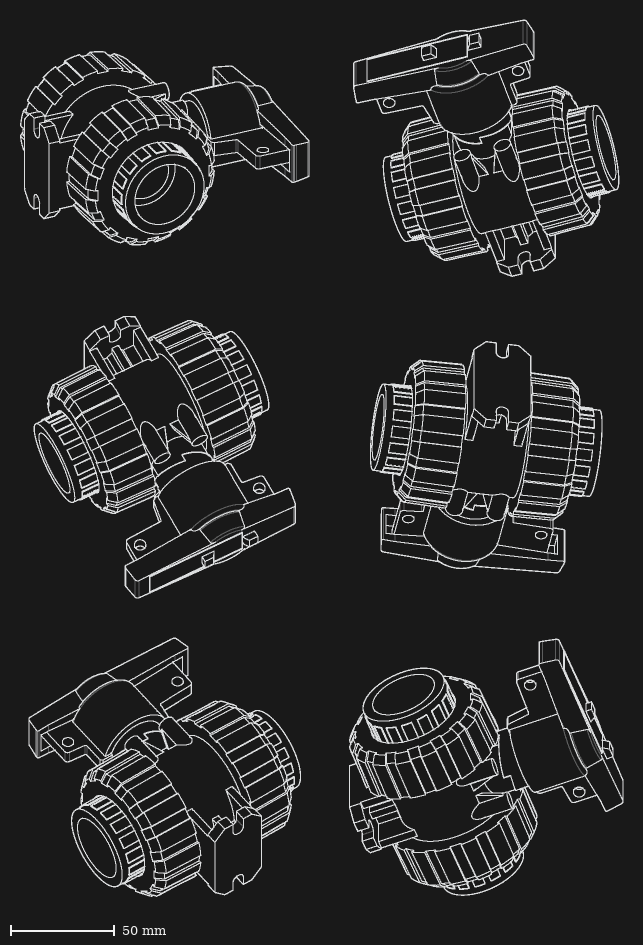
import cadquery as cq
import math


pipe_half_length = 106.0 / 2
pipe_radius = 42.0 / 2
bore_radius = 25.0 / 2
socket_radius = 32.0 / 2
socket_depth = 22.0
body_radius = 52.0 / 2

pad_radius = 43.0 / 2
pad_count = 16
pad_width = 5.3
pad_outer_x = 49.0

nut_inner_x = 16.3
nut_chamfer_x = 36.5
nut_outer_x = 40.3
nut_radius = 35.0
nut_draft = 0.5
nut_chamfer_depth = 3.4
nut_hole_radius = 43.8 / 2
nut_hole_depth = 2.5
groove_count = 16
groove_depth = 1.4
groove_width = 5.5

foot_bottom_y = -43.1
foot_thickness = 5.8
foot_width = 27.8
foot_height = 49.7
foot_chamfer = 5.9
slot_width = 6.0
slot_depth = 9.0
side_rib_thickness = 3.9
side_rib_height = 35.9
middle_rib_thickness = 3.6
middle_rib_height = 19.1
column_radius = 9.4 / 2

stem_radius = 14.5
stem_half_width = 13.3
neck_radius = 30.0 / 2
neck_top_y = 54.0
ramp_top_y = 34.9
ramp_bottom_y = 31.2
ramp_count = 4
peg_radius = 8.4 / 2
peg_x = 10.2
peg_z = 19.5
peg_top_y = 30.6
gusset_top_y = 28.5
gusset_bottom_y = 16.3
gusset_tip_x = 1.4
gusset_face_z = 20.3
gusset_thickness = 2.5

sleeve_radius = 18.8
sleeve_bottom_y = 41.3
sleeve_top_y = 69.5
sleeve_fillet = 1.9
clearance_top_y = 69.0
clearance = 0.8

cap_base_radius = 16.2
cap_top_radius = 14.7
cap_cone_y = 70.2
cap_fillet = 1.3

plate_thickness = 7.0
plate_left_x = -32.0
plate_right_x = 43.0
ear_corner_y = 54.2
ear_root_y = 53.2
skirt_left_x = -21.2
skirt_right_top_x = 22.8
skirt_right_bottom_x = 20.8
skirt_bottom_y = 40.6
ear_corner_radius = 1.6
ear_root_radius = 0.8
skirt_chamfer = 1.1
lock_hole_diameter = 5.5
lock_hole_y = 59.7
lock_hole_left_x = -27.2
lock_hole_right_x = 37.9

bar_top_y = 79.0
bar_bottom_y = 69.1
bar_belly_y = 67.6
bar_left_x = -38.6
bar_right_x = 51.5
bar_end_draft = 1.5
bar_corner_radius = 1.6
bar_lower_corner_radius = 0.9
bar_belly_half_x = 14.0
bar_end_half_z = 10.3
bar_middle_half_z = 13.0
bar_side_draft = 5.0
bar_wall = 2.0
pocket_left_x = -36.4
pocket_right_x = 47.7
pocket_half_z = 6.0

tab_top_y = 82.3
tab_outer_x = 14.4
tab_inner_top_x = 9.8
tab_inner_base_x = 7.7
panel_height = 0.4
panel_half_z = 8.7


def revolved_about_x(points):
    return cq.Workplane("XY").polyline(points).close().revolve(360, (0, 0), (1, 0))


def cylinder_along_y(radius, bottom_y, top_y, x=0.0, z=0.0):
    return cq.Workplane("ZX", origin=(x, bottom_y, z)).circle(radius).extrude(top_y - bottom_y)


def box_between(x_range, y_range, z_range):
    sizes = [high - low for low, high in (x_range, y_range, z_range)]
    corner = (x_range[0], y_range[0], z_range[0])
    return cq.Workplane("XY").box(*sizes, centered=False).translate(corner)


def mirrored_pair(shape, plane):
    return shape.union(shape.mirror(plane))


def make_nut():
    """Right-hand nut: slightly conical, chamfered outside and grooved all round."""

    def nut_blank(inset):
        outer = nut_radius - inset
        return revolved_about_x([
            (nut_inner_x, 0),
            (nut_inner_x, outer),
            (nut_chamfer_x, outer - nut_draft),
            (nut_outer_x, outer - nut_draft - nut_chamfer_depth),
            (nut_outer_x, 0),
        ])

    groove = box_between(
        (nut_inner_x, nut_outer_x),
        (bore_radius, nut_radius + groove_depth),
        (-groove_width / 2, groove_width / 2),
    )
    teeth = nut_blank(0)
    for index in range(groove_count):
        teeth = teeth.cut(groove.rotate((0, 0, 0), (1, 0, 0), index * 360 / groove_count))
    nut = teeth.union(nut_blank(groove_depth))
    hole = cq.Workplane("YZ", origin=(nut_outer_x - nut_hole_depth, 0, 0))
    return nut.cut(hole.circle(nut_hole_radius).extrude(nut_hole_depth))


def make_pipe_end():
    """Right-hand pipe end with a ring of slightly raised pads."""
    start_x = nut_outer_x - nut_hole_depth
    pads = cq.Workplane("YZ", origin=(start_x, 0, 0)).circle(pad_radius).extrude(pad_outer_x - start_x)
    bars = None
    for index in range(pad_count // 2):
        bar = box_between(
            (start_x, pad_outer_x),
            (-nut_radius, nut_radius),
            (-pad_width / 2, pad_width / 2),
        ).rotate((0, 0, 0), (1, 0, 0), index * 360 / pad_count)
        bars = bar if bars is None else bars.union(bar)
    pipe = cq.Workplane("YZ").circle(pipe_radius).extrude(pipe_half_length)
    return pipe.union(pads.intersect(bars))


def make_bore():
    bore = cq.Workplane("YZ").circle(bore_radius).extrude(pipe_half_length, both=True)
    socket = cq.Workplane("YZ", origin=(pipe_half_length - socket_depth, 0, 0))
    socket = socket.circle(socket_radius).extrude(socket_depth)
    return bore.union(mirrored_pair(socket, "YZ"))


def make_foot():
    base = (
        cq.Workplane("ZX", origin=(0, foot_bottom_y, 0))
        .rect(foot_height, foot_width)
        .extrude(foot_thickness)
        .edges("|Y")
        .chamfer(foot_chamfer)
    )
    slots = (
        cq.Workplane("ZX", origin=(0, foot_bottom_y, 0))
        .pushPoints([(-foot_height / 2, 0), (foot_height / 2, 0)])
        .slot2D(2 * slot_depth, slot_width)
        .extrude(foot_thickness)
    )
    rib_reach = (foot_bottom_y, -socket_radius)
    side_rib = box_between(
        (foot_width / 2 - side_rib_thickness, foot_width / 2),
        rib_reach,
        (-side_rib_height / 2, side_rib_height / 2),
    )
    middle_rib = box_between(
        (-middle_rib_thickness / 2, middle_rib_thickness / 2),
        rib_reach,
        (-middle_rib_height / 2, middle_rib_height / 2),
    )
    cross_rib = box_between(
        (-foot_width / 2, foot_width / 2),
        rib_reach,
        (-middle_rib_thickness / 2, middle_rib_thickness / 2),
    )
    column = cylinder_along_y(column_radius, *rib_reach)
    foot = base.union(mirrored_pair(side_rib, "YZ")).union(middle_rib).union(cross_rib).union(column)
    return foot.cut(slots)


def make_pegs():
    """Stop pegs on both sides of the stem, each with a triangular gusset towards the middle."""
    peg = cylinder_along_y(peg_radius, 0, peg_top_y, peg_x, peg_z)
    gusset_root_x = peg_x - peg_radius
    gusset = (
        cq.Workplane("XY", origin=(0, 0, gusset_face_z - gusset_thickness))
        .moveTo(peg_x, gusset_top_y)
        .lineTo(gusset_root_x, gusset_top_y)
        .lineTo(gusset_tip_x, gusset_bottom_y)
        .lineTo(peg_x, gusset_bottom_y)
        .close()
        .extrude(gusset_thickness)
    )
    return mirrored_pair(mirrored_pair(peg.union(gusset), "YZ"), "XY")


def make_neck():
    """Stem with flat sides under a wider neck whose lower rim is a ring of sawtooth ramps."""
    neck = cylinder_along_y(neck_radius, ramp_top_y, neck_top_y)
    stem = cylinder_along_y(stem_radius, 0, ramp_top_y).intersect(box_between(
        (-stem_half_width, stem_half_width),
        (0, ramp_top_y),
        (-stem_radius, stem_radius),
    ))
    sector_angle = 360 / ramp_count
    half_span = neck_radius * math.sin(math.radians(sector_angle / 2))
    sector = (
        cq.Workplane("XY")
        .rect(neck_radius, neck_top_y, centered=False)
        .revolve(sector_angle, (0, 0), (0, 1))
        .rotate((0, 0, 0), (0, 1, 0), -sector_angle / 2)
    )
    wedge = (
        cq.Workplane("YZ")
        .moveTo(ramp_top_y, half_span)
        .lineTo(ramp_bottom_y, -half_span)
        .lineTo(neck_top_y, -half_span)
        .lineTo(neck_top_y, half_span)
        .close()
        .extrude(neck_radius, both=True)
    )
    tooth = sector.intersect(wedge)
    for index in range(ramp_count):
        turn = sector_angle * (index + 0.5)
        neck = neck.union(tooth.rotate((0, 0, 0), (0, 1, 0), turn))
    return neck.union(stem)


def make_sleeve():
    """Round sleeve, split to leave clearance on both faces of the handle plate."""
    sleeve = cylinder_along_y(sleeve_radius, sleeve_bottom_y, sleeve_top_y)
    sleeve = sleeve.faces(">Y").edges().fillet(sleeve_fillet)
    half_gap = plate_thickness / 2 + clearance
    return sleeve.cut(box_between(
        (-sleeve_radius, sleeve_radius),
        (sleeve_bottom_y, clearance_top_y),
        (-half_gap, half_gap),
    ))


def make_cap():
    cap = (
        cq.Workplane("XY")
        .moveTo(0, clearance_top_y)
        .lineTo(cap_base_radius, clearance_top_y)
        .lineTo(cap_base_radius, cap_cone_y)
        .lineTo(cap_top_radius, bar_top_y)
        .lineTo(0, bar_top_y)
        .close()
        .revolve(360, (0, 0), (0, 1))
    )
    return cap.faces(">Y").edges().fillet(cap_fillet)


def make_bar():
    """Grip bar, widest at the middle and hollow from below."""
    plan = (
        cq.Workplane("ZX", origin=(0, bar_belly_y, 0))
        .polyline([
            (bar_end_half_z, bar_left_x),
            (bar_middle_half_z, 0),
            (bar_end_half_z, bar_right_x),
            (-bar_end_half_z, bar_right_x),
            (-bar_middle_half_z, 0),
            (-bar_end_half_z, bar_left_x),
        ])
        .close()
        .extrude(bar_top_y - bar_belly_y, taper=bar_side_draft)
    )
    pocket = box_between(
        (pocket_left_x, pocket_right_x),
        (bar_belly_y, bar_top_y - bar_wall),
        (-pocket_half_z, pocket_half_z),
    )
    outline = (
        cq.Workplane("XY")
        .polyline([
            (bar_left_x, bar_bottom_y),
            (plate_left_x, bar_bottom_y),
            (-bar_belly_half_x, bar_belly_y),
            (bar_belly_half_x, bar_belly_y),
            (plate_right_x, bar_bottom_y),
            (bar_right_x, bar_bottom_y),
            (bar_right_x - bar_end_draft, bar_top_y),
            (bar_left_x + bar_end_draft, bar_top_y),
        ])
        .close()
        .extrude(sleeve_radius, both=True)
    )
    outline = outline.faces(">Y").edges("|Z").fillet(bar_corner_radius)
    for end_x in (bar_left_x, bar_right_x):
        corner = cq.selectors.NearestToPointSelector((end_x, bar_bottom_y, 0))
        outline = outline.edges("|Z").edges(corner).fillet(bar_lower_corner_radius)
    bar = outline.intersect(plan)
    return bar.cut(pocket)


def make_plate():
    """Flat handle plate with two locking ears and a skirt down the sleeve."""
    plate = (
        cq.Workplane("XY")
        .polyline([
            (plate_left_x, bar_top_y - bar_wall),
            (plate_left_x, ear_corner_y),
            (skirt_left_x, ear_root_y),
            (skirt_left_x, skirt_bottom_y),
            (skirt_right_bottom_x, skirt_bottom_y),
            (skirt_right_top_x, ear_root_y),
            (plate_right_x, ear_corner_y),
            (plate_right_x, bar_top_y - bar_wall),
        ])
        .close()
        .extrude(plate_thickness / 2, both=True)
    )
    rounded_corners = (
        (plate_left_x, ear_corner_y, ear_corner_radius),
        (plate_right_x, ear_corner_y, ear_corner_radius),
        (skirt_left_x, ear_root_y, ear_root_radius),
        (skirt_right_top_x, ear_root_y, ear_root_radius),
    )
    for corner_x, corner_y, radius in rounded_corners:
        corner = cq.selectors.NearestToPointSelector((corner_x, corner_y, 0))
        plate = plate.edges("|Z").edges(corner).fillet(radius)
    plate = plate.faces("<Y").edges("|Z").chamfer(skirt_chamfer)
    holes = (
        cq.Workplane("XY")
        .pushPoints([(lock_hole_left_x, lock_hole_y), (lock_hole_right_x, lock_hole_y)])
        .circle(lock_hole_diameter / 2)
        .extrude(plate_thickness, both=True)
    )
    return plate.cut(holes)


def make_tabs():
    """Two sloped tabs and a thin raised panel on top of the bar."""
    base_y = bar_top_y - bar_wall
    tab = (
        cq.Workplane("XY")
        .polyline([
            (tab_inner_base_x, base_y),
            (tab_inner_base_x, bar_top_y),
            (tab_inner_top_x, tab_top_y),
            (tab_outer_x, tab_top_y),
            (tab_outer_x, base_y),
        ])
        .close()
        .extrude(plate_thickness / 2, both=True)
    )
    panel = box_between(
        (-tab_inner_base_x, plate_right_x),
        (base_y, bar_top_y + panel_height),
        (-panel_half_z, panel_half_z),
    )
    return mirrored_pair(tab, "YZ").union(panel)


body = cq.Workplane("YZ").circle(body_radius).extrude(nut_inner_x, both=True)
body = body.union(mirrored_pair(make_nut(), "YZ"))
body = body.union(mirrored_pair(make_pipe_end(), "YZ"))
body = body.union(make_foot()).union(make_pegs()).union(make_neck())

handle = make_bar().union(make_plate()).union(make_cap()).union(make_sleeve()).union(make_tabs())

result = body.union(handle).cut(make_bore())